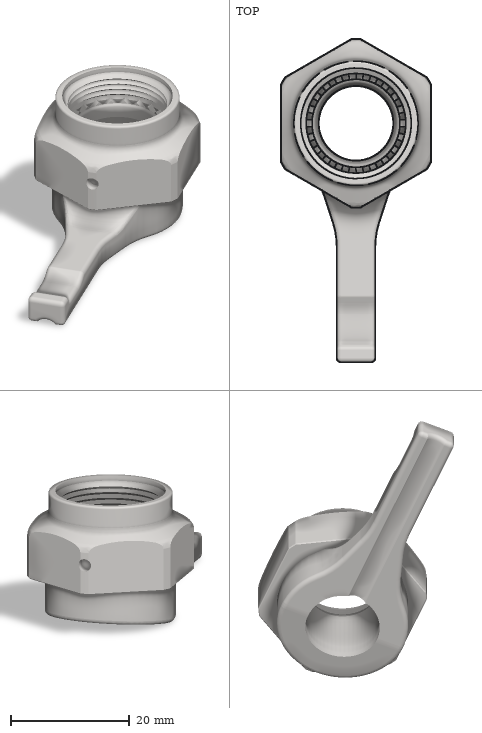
import cadquery as cq
import math

BOSS_RADIUS = 11.1
BOSS_HEIGHT = 7.75
BOTTOM_SLOPE = 10.0
BOTTOM_CREASE_ROUND = 5.45
ARM_END = -40.4
ARM_HALF_WIDTH = 3.3
ARM_HEIGHT = 4.6
FLARE_START = -20.85
FLARE_ANGLE = 18.0
FLARE_RADIUS = 13.1
WEB_RADIUS = 4.3
WEB_REACH = 15.45
WEB_MIDDLE_ANGLE = 50.0
EDGE_ROUND = 0.75
GROOVE_RADIUS = 2.1
GROOVE_DEPTH = 0.7
BORE_RADIUS = 6.3
SLEEVE_RADIUS = 7.45
SLEEVE_TOP = 16.4
SLEEVE_MOUTH_RADIUS = 7.0
SLEEVE_MOUTH_DEPTH = 2.0
SLEEVE_LIP_ROUND = 0.55

RECESS_DEPTH = 1.15
RECESS_FLOOR_INNER = -32.25
RECESS_FLOOR_OUTER = -36.7
INNER_RAMP_ANGLE = 30.0
INNER_RAMP_ROUND = 3.7
INNER_LIP_ROUND = 0.65
OUTER_RAMP_ANGLE = 55.0
OUTER_RAMP_ROUND = 0.8
OUTER_LIP_ROUND = 0.75

ACROSS_FLATS = 25.4
CORNER_RADIUS = 14.25
NUT_TOP = 22.25
NECK_RADIUS = 10.5
CONE_TOP = 18.15
CONE_SLOPE = 30.0
CORNER_ROUND = 1.65
NECK_ROUND = 0.75
RIM_ROUND = 0.4
BASE_CHAMFER = 0.15
THREAD_PITCH = 1.0
THREAD_CREST_RADIUS = 8.4
THREAD_ROOT_RADIUS = 9.0
THREAD_BOTTOM = 16.6
THREAD_TURNS = 4
ENTRY_RADIUS = 9.35
ENTRY_DEPTH = 0.9

TOOTH_COUNT = 21
TOOTH_HEIGHT = 1.2
TOOTH_RISE = 0.65
RING_HEIGHT = 2.2

PIN_RADIUS = 1.1
PIN_HEIGHT = 12.9
PIN_RECESS = 1.65

OVERSIZE = 54.65
RING_TOP = SLEEVE_TOP + TOOTH_RISE
RING_BOTTOM = RING_TOP - RING_HEIGHT


def radial(angle):
    """Unit vector in the XY plane; angle in degrees."""
    return math.cos(math.radians(angle)), math.sin(math.radians(angle))


def revolved(profile):
    """Turn an (r, z) profile on the XZ plane fully around Z."""
    return profile.close().revolve(360, (0, 0, 0), (0, 1, 0))


def edges_near(body, points):
    """The edge whose middle is closest to each point."""
    return body.newObject([body.edges(cq.NearestToPointSelector(p)).val() for p in points])


def lever_plan():
    """Boss circle running tangentially through the flares into the arm."""
    cos_a, sin_a = radial(FLARE_ANGLE)
    half_cos, half_sin = radial(FLARE_ANGLE / 2)
    outer_x = ARM_HALF_WIDTH + FLARE_RADIUS
    outer_mid = (outer_x - FLARE_RADIUS * half_cos, FLARE_START + FLARE_RADIUS * half_sin)
    outer_end = (outer_x - FLARE_RADIUS * cos_a, FLARE_START + FLARE_RADIUS * sin_a)

    offset = outer_end[0] * cos_a - outer_end[1] * sin_a + FLARE_RADIUS
    along = -math.sqrt((BOSS_RADIUS + FLARE_RADIUS) ** 2 - offset**2)
    center = (offset * cos_a + along * sin_a, along * cos_a - offset * sin_a)
    inner_start = (center[0] - FLARE_RADIUS * cos_a, center[1] + FLARE_RADIUS * sin_a)
    boss_share = BOSS_RADIUS / (BOSS_RADIUS + FLARE_RADIUS)
    boss_point = (center[0] * boss_share, center[1] * boss_share)
    end_angle = math.degrees(math.atan2(-center[1], -center[0]))
    middle = radial((180 - FLARE_ANGLE + end_angle) / 2)
    inner_mid = (center[0] + FLARE_RADIUS * middle[0], center[1] + FLARE_RADIUS * middle[1])

    def mirrored(point):
        return -point[0], point[1]

    return (
        cq.Workplane("XY")
        .moveTo(ARM_HALF_WIDTH, ARM_END)
        .lineTo(ARM_HALF_WIDTH, FLARE_START)
        .threePointArc(outer_mid, outer_end)
        .lineTo(*inner_start)
        .threePointArc(inner_mid, boss_point)
        .threePointArc((0, BOSS_RADIUS), mirrored(boss_point))
        .threePointArc(mirrored(inner_mid), mirrored(inner_start))
        .lineTo(*mirrored(outer_end))
        .threePointArc(mirrored(outer_mid), (-ARM_HALF_WIDTH, FLARE_START))
        .lineTo(-ARM_HALF_WIDTH, ARM_END)
        .close()
    )


def above_arm():
    """Space over the arm, bounded by the concave web around the boss."""
    web_center_z = ARM_HEIGHT + WEB_RADIUS
    top_offset = math.sqrt(WEB_RADIUS**2 - (web_center_z - BOSS_HEIGHT) ** 2)
    mid_cos, mid_sin = radial(WEB_MIDDLE_ANGLE)
    return revolved(
        cq.Workplane("XZ")
        .moveTo(WEB_REACH - top_offset, BOSS_HEIGHT)
        .threePointArc(
            (WEB_REACH - WEB_RADIUS * mid_cos, web_center_z - WEB_RADIUS * mid_sin),
            (WEB_REACH, ARM_HEIGHT),
        )
        .lineTo(OVERSIZE, ARM_HEIGHT)
        .lineTo(OVERSIZE, BOSS_HEIGHT)
    )


def finger_recess():
    """Cutter with a flat floor, two ramps and rounded transitions."""
    floor_z = ARM_HEIGHT - RECESS_DEPTH
    inner_foot = RECESS_FLOOR_INNER + INNER_RAMP_ROUND * math.tan(math.radians(INNER_RAMP_ANGLE / 2))
    outer_foot = RECESS_FLOOR_OUTER - OUTER_RAMP_ROUND * math.tan(math.radians(OUTER_RAMP_ANGLE / 2))
    inner_top = inner_foot + RECESS_DEPTH / math.tan(math.radians(INNER_RAMP_ANGLE))
    outer_top = outer_foot - RECESS_DEPTH / math.tan(math.radians(OUTER_RAMP_ANGLE))
    body = (
        cq.Workplane("YZ")
        .polyline([
            (FLARE_START, ARM_HEIGHT),
            (inner_top, ARM_HEIGHT),
            (inner_foot, floor_z),
            (outer_foot, floor_z),
            (outer_top, ARM_HEIGHT),
            (ARM_END - BOSS_HEIGHT, ARM_HEIGHT),
            (ARM_END - BOSS_HEIGHT, 2 * ARM_HEIGHT),
            (FLARE_START, 2 * ARM_HEIGHT),
        ])
        .close()
        .extrude(BOSS_RADIUS, both=True)
    )
    rounds = (
        (inner_top, ARM_HEIGHT, INNER_LIP_ROUND),
        (inner_foot, floor_z, INNER_RAMP_ROUND),
        (outer_foot, floor_z, OUTER_RAMP_ROUND),
        (outer_top, ARM_HEIGHT, OUTER_LIP_ROUND),
    )
    for y, z, radius in rounds:
        body = edges_near(body, [(0, y, z)]).fillet(radius)
    return body


def below_rear():
    """Wedge that slopes the underside up behind the nut axis."""
    rise = OVERSIZE * math.tan(math.radians(BOTTOM_SLOPE))
    return (
        cq.Workplane("YZ")
        .polyline([(0, 0), (OVERSIZE, rise), (OVERSIZE, 0)])
        .close()
        .extrude(OVERSIZE, both=True)
    )


def underside_groove():
    """Shallow round channel from the arm tip to the bore."""
    return (
        cq.Workplane("XZ", origin=(0, 0, GROOVE_DEPTH - GROOVE_RADIUS))
        .circle(GROOVE_RADIUS)
        .extrude(OVERSIZE)
    )


def lever_handle():
    """Boss and arm with all outer edges rounded."""
    body = lever_plan().extrude(BOSS_HEIGHT)
    body = body.cut(above_arm()).cut(finger_recess()).cut(below_rear())
    body = edges_near(body, [(0, 0, 0)]).fillet(BOTTOM_CREASE_ROUND)
    tip_corners = [(side * ARM_HALF_WIDTH, ARM_END, ARM_HEIGHT / 2) for side in (-1, 1)]
    body = edges_near(body, tip_corners).fillet(EDGE_ROUND)
    body = body.cut(underside_groove())
    return body.faces("<Y").edges("not |Z").fillet(EDGE_ROUND)


def make_lever():
    """Handle with the stepped sleeve on top and the bore through both."""
    sleeve = (
        cq.Workplane("XY", origin=(0, 0, BOSS_HEIGHT))
        .circle(THREAD_CREST_RADIUS)
        .extrude(RING_BOTTOM - BOSS_HEIGHT)
        .faces(">Z")
        .workplane()
        .circle(SLEEVE_RADIUS)
        .extrude(SLEEVE_TOP - RING_BOTTOM)
    )
    mouth = revolved(
        cq.Workplane("XZ")
        .moveTo(0, SLEEVE_TOP)
        .lineTo(SLEEVE_MOUTH_RADIUS, SLEEVE_TOP)
        .lineTo(BORE_RADIUS, SLEEVE_TOP - SLEEVE_MOUTH_DEPTH)
        .lineTo(BORE_RADIUS, -BOSS_HEIGHT)
        .lineTo(0, -BOSS_HEIGHT)
    )
    body = lever_handle().union(sleeve).cut(mouth)
    return body.faces(">Z").edges(cq.selectors.RadiusNthSelector(0)).fillet(SLEEVE_LIP_ROUND)


def nut_outer():
    """Hexagon trimmed by a turned profile: round corners, cone and neck."""
    cone_drop = (CORNER_RADIUS - NECK_RADIUS) * math.tan(math.radians(CONE_SLOPE))
    turned = revolved(
        cq.Workplane("XZ")
        .moveTo(0, BOSS_HEIGHT)
        .lineTo(CORNER_RADIUS, BOSS_HEIGHT)
        .lineTo(CORNER_RADIUS, CONE_TOP - cone_drop)
        .lineTo(NECK_RADIUS, CONE_TOP)
        .lineTo(NECK_RADIUS, NUT_TOP)
        .lineTo(0, NUT_TOP)
    )
    rounds = (
        (CONE_TOP - cone_drop, CORNER_ROUND),
        (CONE_TOP, NECK_ROUND),
        (NUT_TOP, RIM_ROUND),
    )
    for height, edge_round in rounds:
        turned = edges_near(turned, [(0, 0, height)]).fillet(edge_round)
    hexagon = (
        cq.Workplane("XY", origin=(0, 0, BOSS_HEIGHT))
        .polygon(6, ACROSS_FLATS, circumscribed=True)
        .extrude(NUT_TOP - BOSS_HEIGHT)
    )
    return turned.intersect(hexagon).faces("<Z").chamfer(BASE_CHAMFER)


def nut_cavity():
    """Plain bore, then thread grooves, then a wider entry at the top."""
    profile = (
        cq.Workplane("XZ")
        .moveTo(0, BOSS_HEIGHT)
        .lineTo(THREAD_CREST_RADIUS, BOSS_HEIGHT)
        .lineTo(THREAD_CREST_RADIUS, THREAD_BOTTOM)
    )
    for turn in range(THREAD_TURNS):
        crest = THREAD_BOTTOM + turn * THREAD_PITCH
        profile = profile.lineTo(THREAD_ROOT_RADIUS, crest + THREAD_PITCH / 2)
        profile = profile.lineTo(THREAD_CREST_RADIUS, crest + THREAD_PITCH)
    last_root = THREAD_BOTTOM + (THREAD_TURNS + 0.5) * THREAD_PITCH
    return revolved(
        profile
        .lineTo(THREAD_ROOT_RADIUS, last_root)
        .lineTo(ENTRY_RADIUS, NUT_TOP - ENTRY_DEPTH)
        .lineTo(ENTRY_RADIUS, NUT_TOP)
        .lineTo(0, NUT_TOP)
    )


def pin_rod(side, reach):
    """Rod along Y from the sleeve out to the given distance; side is -1 or 1."""
    return (
        cq.Workplane("XZ", origin=(0, side * THREAD_CREST_RADIUS, PIN_HEIGHT))
        .circle(PIN_RADIUS)
        .extrude(-side * (reach - THREAD_CREST_RADIUS))
    )


def make_nut():
    """Hexagon nut with its threaded cavity and two radial pin holes."""
    body = nut_outer().cut(nut_cavity())
    for side in (-1, 1):
        body = body.cut(pin_rod(side, OVERSIZE))
    return body


def make_toothed_ring():
    """Ring around the sleeve with V-shaped teeth on its top face."""
    ring = (
        cq.Workplane("XY", origin=(0, 0, RING_BOTTOM))
        .circle(THREAD_CREST_RADIUS)
        .circle(SLEEVE_RADIUS)
        .extrude(RING_HEIGHT)
    )
    pitch_angle = 360 / TOOTH_COUNT
    half_width = THREAD_CREST_RADIUS * math.tan(math.radians(pitch_angle / 2))
    notch = (
        cq.Workplane("YZ")
        .polyline([(0, RING_TOP - TOOTH_HEIGHT), (half_width, RING_TOP), (-half_width, RING_TOP)])
        .close()
        .extrude(BOSS_RADIUS)
    )
    for tooth in range(TOOTH_COUNT):
        angle = (tooth + 0.25) * pitch_angle
        ring = ring.cut(notch.rotate((0, 0, 0), (0, 0, 1), angle))
    return ring


def make_pin(side):
    """Pin in the nut corner, its face set back from the corner."""
    return pin_rod(side, CORNER_RADIUS - PIN_RECESS)


lever = make_lever()
nut = make_nut()
toothed_ring = make_toothed_ring()
pins = [make_pin(side) for side in (-1, 1)]

result = cq.Compound.makeCompound([lever.val(), nut.val(), toothed_ring.val(), *[pin.val() for pin in pins]])